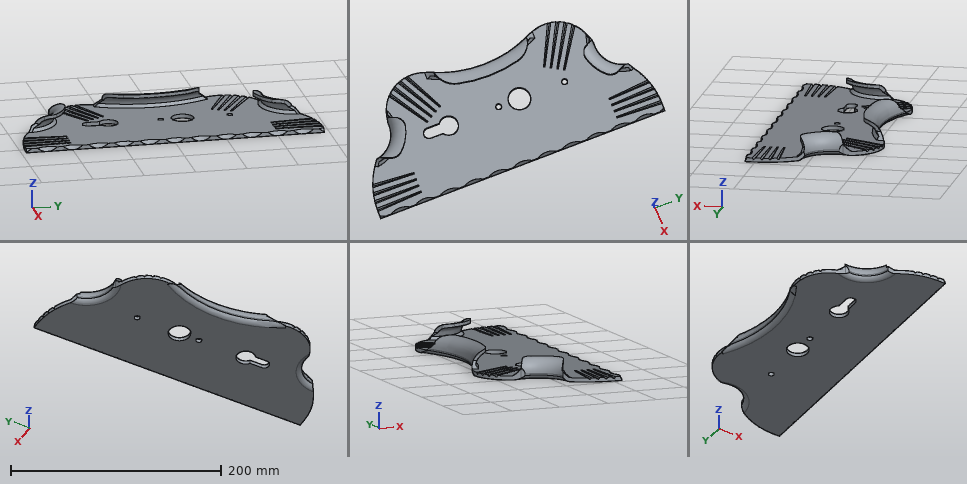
import cadquery as cq
import math

length = 290.0
depth = 119.2
height = 20.0
thickness = 4.0
half_length = length / 2

tip_radius = 72.5
tip_center = (-7.5, half_length - tip_radius)
tip_middle_angle = 110.0
lobe_radius = 36.5
lobe_center = (lobe_radius - depth, 68.2)
small_notch_radius = 27.8
small_notch_center = (-81.5, 133.0)
small_notch_angle = -59.0
small_notch_end_angle = -94.0
lobe_start_angle = 97.0
lobe_end_angle = 201.0
large_notch_radius = 116.0
large_notch_center = (-219.2, 0.0)
large_notch_start_angle = 26.0

curl_radius = 14.5
curl_thickness = 3.5
curl_center_z = height - curl_radius
mid_curl_angle = 135.0
curl_inner_radius = curl_radius - curl_thickness
underside_width = 5.2
underside_bulge = (1.7, 1.5)
root_width = 3.0
root_z = 7.0

small_lip_half_width = 19.7
large_lip_half_width = 47.3
small_lip_corner_radius = 10.2
large_lip_corner_radius = 21.8
small_lip_half_angle = 70.0
large_lip_half_angle = 32.0
flank_foot_width = 18.0
flank_middle = (7.2, 4.4)
flank_turn_z = 10.7

hole_x = -60.3
screw_hole_diameter = 5.5
screw_hole_ys = (66.0, -1.2)
hang_hole_diameter = 21.5
hang_hole_y = 20.0
keyhole_diameter = 18.5
keyhole_y = -52.2
keyhole_slot_width = 10.5
keyhole_bottom_y = -77.5

groove_count = 4
groove_spacing = 6.5
groove_angle_step = 1.8
groove_length = 52.2
groove_start_width = 1.5
groove_end_width = 3.5
groove_start_depth = 1.0
groove_end_depth = 1.7
groove_fans = (((-19.5, 99.8), 90.8), ((-75.7, 61.5), 150.0))

scallop_pitch = 25.0
scallop_chord = 19.0
scallop_depth = 2.5
scallop_half_count = 6
scallop_lean = math.atan2(scallop_depth, thickness)
scallop_rise = scallop_depth * math.cos(scallop_lean)
scallop_radius = ((scallop_chord / 2) ** 2 + scallop_rise**2) / (2 * scallop_rise)


def polar(center, radius, angle):
    """Point at an angle in degrees on a circle."""
    turn = math.radians(angle)
    return (center[0] + radius * math.cos(turn), center[1] + radius * math.sin(turn))


def mirrored(point):
    return (point[0], -point[1])


def circle_crossing(center_a, radius_a, center_b, radius_b):
    """Crossing of two circles on the left of the way from a to b."""
    dx = center_b[0] - center_a[0]
    dy = center_b[1] - center_a[1]
    gap = math.hypot(dx, dy)
    along = (gap**2 + radius_a**2 - radius_b**2) / (2 * gap)
    aside = math.sqrt(radius_a**2 - along**2)
    return (
        center_a[0] + (along * dx - aside * dy) / gap,
        center_a[1] + (along * dy + aside * dx) / gap,
    )


def make_outline(tall):
    """Filled outline raised from z = 0."""
    tip_end = circle_crossing(small_notch_center, small_notch_radius, tip_center, tip_radius)
    small_end = polar(small_notch_center, small_notch_radius, small_notch_end_angle)
    lobe_start = polar(lobe_center, lobe_radius, lobe_start_angle)
    lobe_end = polar(lobe_center, lobe_radius, lobe_end_angle)
    large_start = polar(large_notch_center, large_notch_radius, large_notch_start_angle)
    tip_start = (tip_center[0], half_length)
    tip_middle = polar(tip_center, tip_radius, tip_middle_angle)
    small_middle = polar(small_notch_center, small_notch_radius, small_notch_angle)
    lobe_middle = polar(lobe_center, lobe_radius, (lobe_start_angle + lobe_end_angle) / 2)
    large_middle = polar(large_notch_center, large_notch_radius, 0)
    return (
        cq.Workplane("XY")
        .moveTo(0, half_length)
        .lineTo(*tip_start)
        .threePointArc(tip_middle, tip_end)
        .threePointArc(small_middle, small_end)
        .lineTo(*lobe_start)
        .threePointArc(lobe_middle, lobe_end)
        .lineTo(*large_start)
        .threePointArc(large_middle, mirrored(large_start))
        .lineTo(*mirrored(lobe_end))
        .threePointArc(mirrored(lobe_middle), mirrored(lobe_start))
        .lineTo(*mirrored(small_end))
        .threePointArc(mirrored(small_middle), mirrored(tip_end))
        .threePointArc(mirrored(tip_middle), mirrored(tip_start))
        .lineTo(0, -half_length)
        .close()
        .extrude(tall)
    )


def sweep(section, half_angle):
    """Section turned about the Z axis to both sides of +X."""
    turned = section.close().revolve(2 * half_angle, (0, 0), (0, 1))
    return turned.rotate((0, 0, 0), (0, 0, 1), -half_angle)


def make_lip_ring(notch_radius, half_angle):
    ring_r = notch_radius + curl_radius
    ring_center = (ring_r, curl_center_z)
    inner_rise = root_z - curl_center_z
    inner_r = ring_r - math.sqrt(curl_inner_radius**2 - inner_rise**2)
    section = (
        cq.Workplane("XZ")
        .moveTo(notch_radius, 0)
        .lineTo(notch_radius, curl_center_z)
        .threePointArc(polar(ring_center, curl_radius, mid_curl_angle), (ring_r, height))
        .lineTo(ring_r, height - curl_thickness)
        .threePointArc(polar(ring_center, curl_inner_radius, mid_curl_angle), (inner_r, root_z))
        .lineTo(inner_r + root_width, thickness)
        .lineTo(inner_r + root_width, 0)
    )
    return sweep(section, half_angle)


def make_underside_ring(notch_radius, half_angle):
    """Material to remove so that the edge below a lip is rounded under."""
    outside_r = notch_radius - underside_width
    section = (
        cq.Workplane("XZ")
        .moveTo(notch_radius, thickness)
        .threePointArc(
            (notch_radius + underside_bulge[0], underside_bulge[1]),
            (notch_radius + underside_width, 0),
        )
        .lineTo(outside_r, 0)
        .lineTo(outside_r, thickness)
    )
    return sweep(section, half_angle)


def make_flank_trim(half_width, reach):
    """Block along +X whose sides flare out towards the plate's bottom."""
    foot = half_width + flank_foot_width
    side = half_width + flank_middle[0]
    return (
        cq.Workplane("YZ")
        .moveTo(-foot, 0)
        .threePointArc((-side, flank_middle[1]), (-half_width, flank_turn_z))
        .lineTo(-half_width, height)
        .lineTo(half_width, height)
        .lineTo(half_width, flank_turn_z)
        .threePointArc((side, flank_middle[1]), (foot, 0))
        .close()
        .extrude(reach)
    )


def make_corner_cutter(half_width, corner_radius, ring_r):
    """Sliver that rounds the lip's corner on the +Y side in plan."""
    corner_y = half_width - corner_radius
    corner_x = math.sqrt((ring_r - corner_radius) ** 2 - corner_y**2)
    corner = (corner_x, corner_y)
    tip_angle = math.degrees(math.atan2(corner_y, corner_x))
    tip = polar(corner, corner_radius, tip_angle)
    beyond = polar(corner, 2 * corner_radius, tip_angle)
    return (
        cq.Workplane("XY")
        .moveTo(*tip)
        .lineTo(*beyond)
        .lineTo(beyond[0], half_width + corner_radius)
        .lineTo(corner_x, half_width + corner_radius)
        .lineTo(corner_x, half_width)
        .threePointArc(polar(corner, corner_radius, (90 + tip_angle) / 2), tip)
        .close()
        .extrude(height)
        .translate((0, 0, flank_turn_z))
    )


def add_lip(plate, center, notch_radius, angle, half_width, half_angle, corner_radius):
    """Joins a lip to the plate and rounds the plate's edge below it."""
    ring_r = notch_radius + curl_radius
    trim = make_flank_trim(half_width, ring_r)
    cutter = make_corner_cutter(half_width, corner_radius, ring_r)
    lip = make_lip_ring(notch_radius, half_angle).intersect(trim)
    lip = lip.cut(cutter).cut(cutter.mirror("XZ"))
    underside = make_underside_ring(notch_radius, half_angle).intersect(trim)

    def place(body):
        return body.rotate((0, 0, 0), (0, 0, 1), angle).translate((center[0], center[1], 0))

    lip = place(lip).intersect(make_outline(height))
    return plate.union(lip).cut(place(underside))


def make_disc(diameter, y):
    return cq.Workplane("XY").center(hole_x, y).circle(diameter / 2).extrude(thickness)


def make_holes():
    holes = make_disc(hang_hole_diameter, hang_hole_y).union(make_disc(keyhole_diameter, keyhole_y))
    for y in screw_hole_ys:
        holes = holes.union(make_disc(screw_hole_diameter, y))
    slot_length = keyhole_y - keyhole_bottom_y
    keyhole_slot = (
        cq.Workplane("XY")
        .center(hole_x, keyhole_bottom_y + slot_length / 2)
        .slot2D(slot_length, keyhole_slot_width, 90)
        .extrude(thickness)
    )
    return holes.union(keyhole_slot)


def make_groove():
    """V groove along +X that widens and deepens away from the origin."""
    half_start = groove_start_width / 2
    half_end = groove_end_width / 2
    return (
        cq.Workplane("YZ")
        .polyline([(-half_start, 0), (half_start, 0), (0, -groove_start_depth)])
        .close()
        .workplane(offset=groove_length)
        .polyline([(-half_end, 0), (half_end, 0), (0, -groove_end_depth)])
        .close()
        .loft(ruled=True)
    )


def make_groove_fan(middle, direction):
    """V grooves side by side that spread towards the outline."""
    grooves = cq.Workplane("XY")
    for index in range(groove_count):
        step = index - (groove_count - 1) / 2
        start = polar(middle, step * groove_spacing, direction + 90)
        groove = make_groove().rotate((0, 0, 0), (0, 0, 1), direction + step * groove_angle_step)
        grooves = grooves.union(groove.translate((start[0], start[1], thickness)))
    return grooves


def make_scallops():
    """Row of leaning cylinders, deepest at the top face of the straight edge."""
    axis = cq.Vector(-math.sin(scallop_lean), 0, math.cos(scallop_lean))
    axis_x = scallop_radius / math.cos(scallop_lean)
    scallops = cq.Workplane("XY")
    for index in range(-scallop_half_count, scallop_half_count + 1):
        base = cq.Vector(axis_x, index * scallop_pitch, 0) - axis * scallop_radius
        scallops = scallops.add(cq.Solid.makeCylinder(scallop_radius, 3 * scallop_radius, base, axis))
    return scallops.combine()


result = make_outline(thickness)
result = add_lip(
    result,
    large_notch_center,
    large_notch_radius,
    0,
    large_lip_half_width,
    large_lip_half_angle,
    large_lip_corner_radius,
)
for side in (1, -1):
    result = add_lip(
        result,
        (small_notch_center[0], side * small_notch_center[1]),
        small_notch_radius,
        side * small_notch_angle,
        small_lip_half_width,
        small_lip_half_angle,
        small_lip_corner_radius,
    )
result = result.cut(make_holes()).cut(make_scallops())
for fan_middle, fan_direction in groove_fans:
    fan = make_groove_fan(fan_middle, fan_direction)
    result = result.cut(fan).cut(fan.mirror("XZ"))